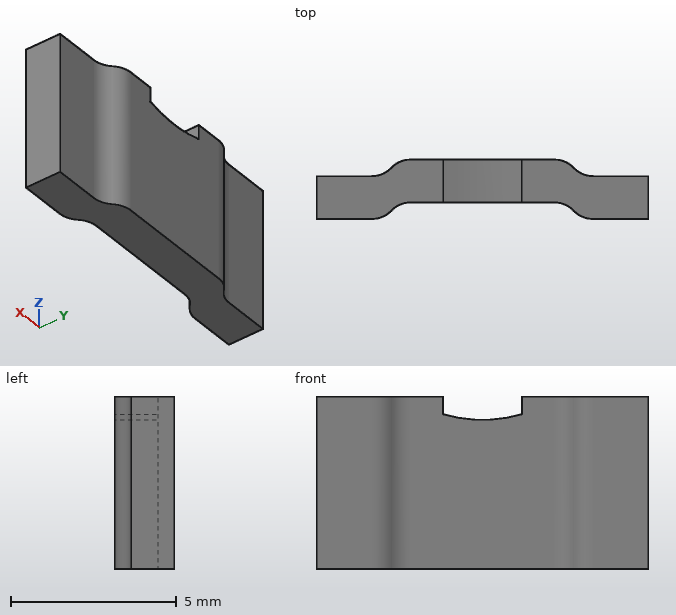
import cadquery as cq
import math

length = 10.0
height = 5.2
thickness = 1.3
step = 0.5

pad_length = 1.67
bend_radius = 0.8
bend_angle = math.radians(45)

notch_width = 2.38
notch_side_depth = 0.53
notch_centre_depth = 0.7

half_length = length / 2
arc_run = bend_radius * math.sin(bend_angle)
arc_rise = bend_radius * (1 - math.cos(bend_angle))
mid_run = bend_radius * math.sin(bend_angle / 2)
mid_rise = bend_radius * (1 - math.cos(bend_angle / 2))
straight_rise = step - 2 * arc_rise
straight_run = straight_rise / math.tan(bend_angle)
bend_run = 2 * arc_run + straight_run

front_y = -(thickness + step) / 2


def face_left_half(base_y):
    """Left half of one face of the strip, closed along X = 0 on the +Y side of the plate."""
    start_x = -half_length + pad_length
    end_x = start_x + bend_run
    top_y = base_y + step
    outer_y = front_y + 2 * (thickness + step)
    return (
        cq.Workplane("XY", origin=(0, 0, -height / 2))
        .moveTo(-half_length, base_y)
        .lineTo(start_x, base_y)
        .threePointArc((start_x + mid_run, base_y + mid_rise), (start_x + arc_run, base_y + arc_rise))
        .lineTo(end_x - arc_run, top_y - arc_rise)
        .threePointArc((end_x - mid_run, top_y - mid_rise), (end_x, top_y))
        .lineTo(0, top_y)
        .lineTo(0, outer_y)
        .lineTo(-half_length, outer_y)
        .close()
        .extrude(height)
    )


def notch_cutter():
    """Notch profile, cut through the full depth of the strip."""
    half_width = notch_width / 2
    top_z = height / 2
    side_z = top_z - notch_side_depth
    return (
        cq.Workplane("XZ")
        .moveTo(-half_width, top_z)
        .lineTo(-half_width, side_z)
        .threePointArc((0, top_z - notch_centre_depth), (half_width, side_z))
        .lineTo(half_width, top_z)
        .close()
        .extrude(thickness + step, both=True)
    )


left_half = face_left_half(front_y).cut(face_left_half(front_y + thickness))
strip = left_half.union(left_half.mirror("YZ")).clean()
result = strip.cut(notch_cutter())